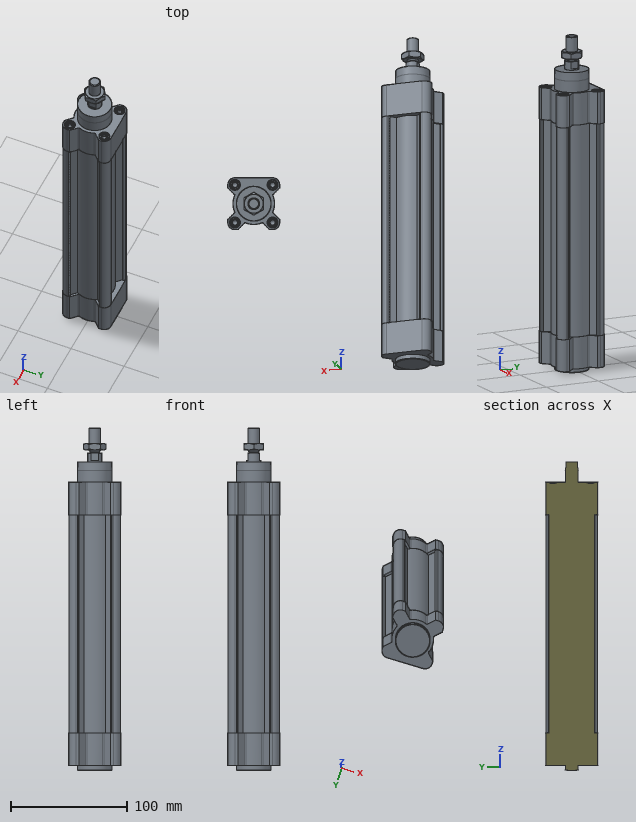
import cadquery as cq
import math

total_length = 295.0
end_boss_height = 4.0
cover_length = 28.3
housing_top = 248.5
collar_step_z = 258.5
collar_top = 266.0
flat_bottom_z = 267.0
rod_shoulder_z = 273.3
thread_bottom_z = 274.5
nut_bottom_z = 276.0
nut_height = 6.0

barrel_bottom = end_boss_height + cover_length
top_cover_bottom = housing_top - cover_length

cover_width = 45.0
screw_pitch = 32.5
cover_core_diameter = 36.0
cover_neck_width = 12.5
cover_neck_fillet = 1.2
lug_center = screw_pitch / 2
lug_corners = [(sx * lug_center, sy * lug_center) for sx in (-1, 1) for sy in (-1, 1)]

barrel_setback = 0.15
barrel_width = cover_width - 2 * barrel_setback
barrel_core_diameter = cover_core_diameter - 2 * barrel_setback
barrel_neck_width = 8.3
barrel_lip_width = 10.3
barrel_lip_start = 24.2

collar_diameter = 30.0
collar_top_diameter = 29.5
boss_chamfer = 0.5

recess_diameter = 9.5
recess_depth = 0.3
ring_diameter = 8.0
ring_depth = 0.5
socket_diameter = 6.0
socket_depth = 1.2
bore_diameter = 4.5
bore_depth = 3.0
bore_tip_depth = 1.2

rod_diameter = 12.0
rod_flat_width = 10.0
thread_diameter = 10.0
neck_diameter = 8.0
tip_diameter = 8.3
tip_chamfer_height = 0.5
nut_across_flats = 17.0
nut_face_diameter = 16.2
nut_chamfer_angle = 30


def plane_at(height):
    return cq.Workplane("XY").workplane(offset=height)


def rounded_square(width, bottom, height):
    """Square prism whose corners are round about the screw axes."""
    corner_radius = width / 2 - lug_center
    return plane_at(bottom).rect(width, width).extrude(height).edges("|Z").fillet(corner_radius)


def diagonal_cross(width, bottom, height):
    """Two crossing bars along the diagonals, long enough to pass the corners."""
    length = 2 * cover_width
    cross = plane_at(bottom).transformed(rotate=(0, 0, 45)).rect(length, width).extrude(height)
    return cross.union(cross.rotate((0, 0, 0), (0, 0, 1), 90))


def make_cover(bottom):
    """End cover: round core, four corner lugs, filled out to a flat face on +Y."""
    lugs = diagonal_cross(cover_neck_width, bottom, cover_length).intersect(
        rounded_square(cover_width, bottom, cover_length)
    )
    core_radius = cover_core_diameter / 2
    core = plane_at(bottom).circle(core_radius).extrude(cover_length)
    half_neck = cover_neck_width / 2
    along = math.sqrt(core_radius**2 - half_neck**2)
    near = (along - half_neck) / math.sqrt(2)
    far = (along + half_neck) / math.sqrt(2)
    cover = core.union(lugs)
    for sx, sy in [(-1, -1), (-1, 1), (1, -1), (1, 1)]:
        for x, y in [(sx * near, sy * far), (sx * far, sy * near)]:
            inner_edge = cq.selectors.NearestToPointSelector((x, y, bottom + cover_length / 2))
            cover = cover.edges("|Z").edges(inner_edge).fillet(cover_neck_fillet)
    half_width = cover_width / 2
    filler = (
        plane_at(bottom)
        .polyline([(0, 0), (lug_center, lug_center), (lug_center, half_width),
                   (-lug_center, half_width), (-lug_center, lug_center)])
        .close().extrude(cover_length)
    )
    return cover.union(filler)


def make_barrel():
    """Barrel: round core with four diagonal lugs, each with a wider lip at its end."""
    length = top_cover_bottom - barrel_bottom
    inner_square = (
        plane_at(barrel_bottom).transformed(rotate=(0, 0, 45))
        .rect(2 * barrel_lip_start, 2 * barrel_lip_start).extrude(length)
    )
    lips = diagonal_cross(barrel_lip_width, barrel_bottom, length).cut(inner_square)
    necks = diagonal_cross(barrel_neck_width, barrel_bottom, length)
    lugs = necks.union(lips).intersect(rounded_square(barrel_width, barrel_bottom, length))
    core = plane_at(barrel_bottom).circle(barrel_core_diameter / 2).extrude(length)
    return core.union(lugs)


def make_collar():
    """Collar around the rod: a cylinder below and a slight taper above."""
    base = plane_at(housing_top).circle(collar_diameter / 2).extrude(collar_step_z - housing_top)
    taper = (
        plane_at(collar_step_z).circle(collar_diameter / 2)
        .workplane(offset=collar_top - collar_step_z).circle(collar_top_diameter / 2)
        .loft()
    )
    return base.union(taper)


def make_end_boss():
    return (
        cq.Workplane("XY").circle(collar_diameter / 2).extrude(end_boss_height)
        .faces("<Z").chamfer(boss_chamfer)
    )


def make_screw_opening():
    """Stepped round opening with a conical end, placed on the axis."""
    return (
        cq.Workplane("XZ")
        .polyline([
            (0, housing_top),
            (recess_diameter / 2, housing_top),
            (recess_diameter / 2, housing_top - recess_depth),
            (ring_diameter / 2, housing_top - recess_depth),
            (ring_diameter / 2, housing_top - ring_depth),
            (socket_diameter / 2, housing_top - ring_depth),
            (socket_diameter / 2, housing_top - socket_depth),
            (bore_diameter / 2, housing_top - socket_depth),
            (bore_diameter / 2, housing_top - bore_depth),
            (0, housing_top - bore_depth - bore_tip_depth),
        ])
        .close().revolve(360, (0, 0), (0, 1))
    )


def make_housing():
    rod_hole = plane_at(housing_top).circle(rod_diameter / 2).extrude(collar_top - housing_top)
    housing = (
        make_barrel()
        .union(make_cover(end_boss_height))
        .union(make_cover(top_cover_bottom))
        .union(make_collar())
        .union(make_end_boss())
        .cut(rod_hole)
    )
    screw_opening = make_screw_opening()
    for x, y in lug_corners:
        housing = housing.cut(screw_opening.translate((x, y, 0)))
    return housing


def make_rod():
    """Piston rod with wrench flats facing X, a relief neck and a threaded end."""
    rod = (
        cq.Workplane("XZ")
        .polyline([
            (0, housing_top),
            (rod_diameter / 2, housing_top),
            (rod_diameter / 2, rod_shoulder_z),
            (neck_diameter / 2, rod_shoulder_z),
            (neck_diameter / 2, thread_bottom_z),
            (thread_diameter / 2, nut_bottom_z),
            (thread_diameter / 2, total_length - tip_chamfer_height),
            (tip_diameter / 2, total_length),
            (0, total_length),
        ])
        .close().revolve(360, (0, 0), (0, 1))
    )
    outside_flats = (
        plane_at(flat_bottom_z)
        .rect(2 * rod_diameter, 2 * rod_diameter)
        .extrude(rod_shoulder_z - flat_bottom_z)
        .cut(
            plane_at(flat_bottom_z)
            .rect(rod_flat_width, 2 * rod_diameter)
            .extrude(rod_shoulder_z - flat_bottom_z)
        )
    )
    return rod.cut(outside_flats)


def make_nut():
    """Hexagon nut with corners along Y and conical chamfers at both ends."""
    corner_radius = nut_across_flats / math.sqrt(3)
    face_radius = nut_face_diameter / 2
    chamfer_height = (corner_radius - face_radius) * math.tan(math.radians(nut_chamfer_angle))
    nut_top_z = nut_bottom_z + nut_height
    hexagon = (
        plane_at(nut_bottom_z).polygon(6, 2 * corner_radius).extrude(nut_height)
        .rotate((0, 0, 0), (0, 0, 1), 90)
    )
    chamfer_envelope = (
        cq.Workplane("XZ")
        .polyline([
            (0, nut_bottom_z),
            (face_radius, nut_bottom_z),
            (corner_radius, nut_bottom_z + chamfer_height),
            (corner_radius, nut_top_z - chamfer_height),
            (face_radius, nut_top_z),
            (0, nut_top_z),
        ])
        .close().revolve(360, (0, 0), (0, 1))
    )
    bore = plane_at(nut_bottom_z).circle(thread_diameter / 2).extrude(nut_height)
    return hexagon.intersect(chamfer_envelope).cut(bore)


housing = make_housing()
rod = make_rod()
nut = make_nut()

result = cq.Compound.makeCompound([housing.val(), rod.val(), nut.val()])